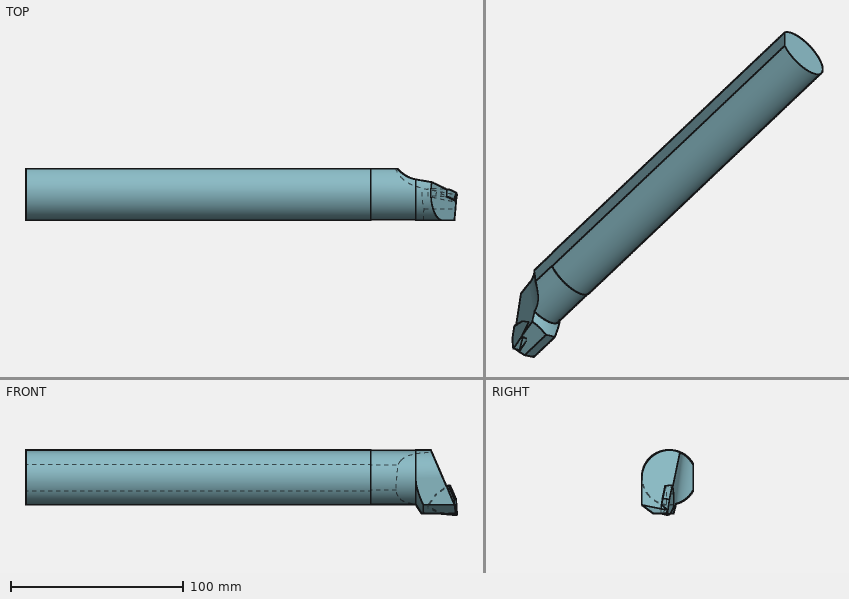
import cadquery as cq
import math

shank_radius = 16.0
shank_length = 200.0
flat_height = 14.0
neck_radius = 15.8
head_start = 226.0
overall_length = 250.0

flare_length = 4.5
flare_radius = 22.8
head_bottom = -21.0
side_bottom = -16.0
underside_start_y = -9.2
slant_top_x = 234.8
slant_angle = 23.3
end_x = 248.5
end_angle = 5.0

rake_y = 6.5
rake_slope_x = -0.18
rake_slope_z = 0.13
runout_x = 226.8
runout_radius = 17.8

insert_center_x = 242.8
insert_center_z = -14.5
insert_corner_reach = 10.8
corner_half_angle = 40.0
tip_direction = -45.0
nose_radius = 0.8
insert_thickness = 4.2
clearance_angle = 7.0

margin = 50.0


def rake_face_y(x, z):
    return rake_y + rake_slope_x * (x - slant_top_x) + rake_slope_z * (z - shank_radius)


def make_bar():
    shank = cq.Workplane("YZ").circle(shank_radius).extrude(shank_length)
    neck = cq.Workplane("YZ", origin=(shank_length, 0, 0)).circle(neck_radius).extrude(head_start - shank_length)
    nose = cq.Workplane("YZ", origin=(head_start, 0, 0)).circle(shank_radius)
    bar = shank.union(neck).union(nose.extrude(overall_length - head_start))
    flat_cut = cq.Workplane("XY").box(overall_length, margin, margin, centered=(False, False, True))
    return bar.cut(flat_cut.translate((0, flat_height, 0)))


def make_head():
    flare = (
        cq.Workplane("XY")
        .moveTo(head_start, 0)
        .lineTo(head_start, shank_radius)
        .lineTo(head_start + flare_length, flare_radius)
        .lineTo(head_start + flare_length, margin)
        .lineTo(overall_length, margin)
        .lineTo(overall_length, 0)
        .close()
        .revolve(360, (0, 0, 0), (1, 0, 0))
    )
    section = (
        cq.Workplane("YZ", origin=(head_start, 0, 0))
        .polyline([
            (flat_height, 0),
            (-shank_radius, 0),
            (-shank_radius, side_bottom),
            (underside_start_y, head_bottom),
            (flat_height, head_bottom),
        ])
        .close()
        .extrude(overall_length - head_start)
    )
    return flare.intersect(section)


def make_front_slant_cut():
    block = cq.Workplane("XY").box(margin, 2 * margin, 4 * margin, centered=(False, True, True))
    return block.rotate((0, 0, 0), (0, 1, 0), -slant_angle).translate((slant_top_x, 0, shank_radius))


def make_end_cut():
    block = cq.Workplane("XY").box(margin, 2 * margin, 2 * margin, centered=(False, True, True))
    return block.rotate((0, 0, 0), (0, 0, 1), -end_angle).translate((end_x, -shank_radius, 0))


def make_rake_cut():
    tipped = cq.Plane(origin=(0, 0, 0), xDir=(1, 0, 0), normal=(0, rake_slope_z, 1))
    lean = math.cos(math.atan(rake_slope_z))
    slope_angle = math.atan(rake_slope_x * lean)
    runout_y = rake_face_y(runout_x, 0) * lean
    far_x = overall_length + margin
    far_y = rake_face_y(far_x, 0) * lean
    arc_x = runout_x - runout_radius * math.sin(slope_angle)
    arc_y = runout_y + runout_radius * math.cos(slope_angle)
    wedge = (
        cq.Workplane(tipped)
        .polyline([(runout_x, runout_y), (far_x, far_y), (far_x, arc_y), (arc_x, arc_y)])
        .close()
        .extrude(margin, both=True)
    )
    runout = cq.Workplane(tipped).center(arc_x, arc_y).circle(runout_radius).extrude(margin, both=True)
    return wedge.union(runout)


def make_insert():
    inward = (rake_slope_x, -1, rake_slope_z)
    center = (insert_center_x, rake_face_y(insert_center_x, insert_center_z), insert_center_z)
    seat = cq.Plane(origin=center, xDir=(1, rake_slope_x, 0), normal=inward)
    shoulder_angle = 180 - 60 - corner_half_angle
    shoulder_reach = (
        insert_corner_reach * math.sin(math.radians(corner_half_angle)) / math.sin(math.radians(shoulder_angle))
    )
    corners = []
    for index in range(6):
        reach = insert_corner_reach if index % 2 == 0 else shoulder_reach
        angle = math.radians(tip_direction + 60 * index)
        corners.append((reach * math.cos(angle), reach * math.sin(angle)))
    plate = cq.Workplane(seat).polyline(corners).close().extrude(insert_thickness, taper=clearance_angle)
    middle_reach = (insert_corner_reach + shoulder_reach) / 2
    nose_edges = [
        edge for edge in plate.edges().vals()
        if abs(edge.tangentAt(0).dot(seat.zDir)) > 0.5 and edge.Center().sub(seat.origin).Length > middle_reach
    ]
    return plate.newObject(nose_edges).fillet(nose_radius)


insert = make_insert()
holder = (
    make_bar()
    .union(make_head())
    .cut(make_front_slant_cut())
    .cut(make_end_cut())
    .cut(make_rake_cut())
    .cut(insert)
)

result = cq.Compound.makeCompound([holder.val(), insert.val()])